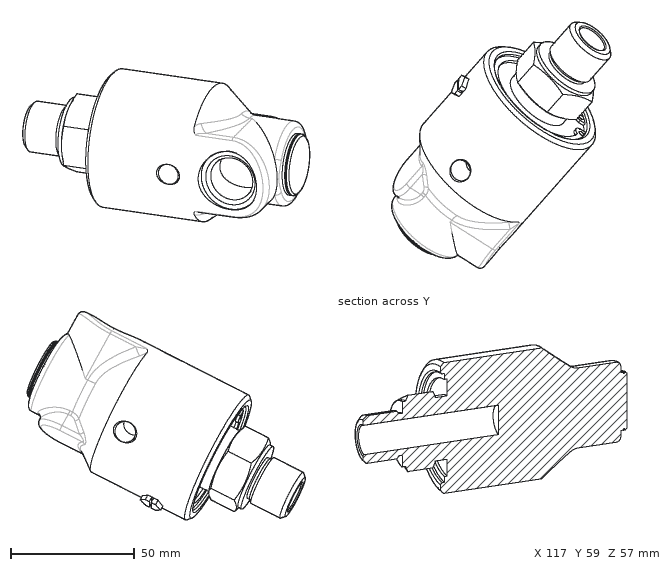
import cadquery as cq
import math


thread_diameter = 20.95
thread_chamfer = 1.6
thread_end_x = 15.0
neck_diameter = 18.5
flange_start_x = 17.4
flange_diameter = 28.6
hex_start_x = 18.9
hex_end_x = 32.2
hex_width = 29.8
hex_chamfer_length = 1.3
collar_diameter = 27.8
bore_diameter = 12.7
bore_chamfer = 0.5
bore_depth = 60.0

body_diameter = 57.0
body_start_x = 34.3
body_end_x = 79.2
body_chamfer = 1.55
cone_angle = 38.0
nose_diameter = 35.0
nose_end_x = 114.3
nose_round = 2.2
root_fillet = 6.0

cap_diameter = 25.4
cap_end_x = 116.97
cap_groove_diameter = 24.2
cap_groove_start_x = 115.4
cap_groove_width = 0.4
cap_chamfer = 0.8

recess_diameter = 47.07
recess_chamfer = 0.8
recess_depth = 3.0
ring_inner_diameter = 42.0
ring_thickness = 1.2
ring_eye_diameter = 2.36
ring_eye_y = -21.4
ring_eye_z = 6.15
ring_lug_radius = 2.9

port_x = 96.5
side_bar_start_x = 60.0
lug_fillet = 2.0
port_spotface_diameter = 25.4
port_spotface_y = -25.0
port_chamfer_diameter = 21.4
port_bore_diameter = 18.3
boss_radius = 10.6
boss_height = 22.0
boss_fillet = 1.8
boss_root_fillet = 2.0

drain_x = 70.7
drain_diameter = 8.6
drain_mouth_diameter = 10.0
drain_mouth_depth = 0.4
drain_angles = (60.0, 180.0, 300.0)
core_radius = 13.0

screw_x = 50.5
screw_width = 8.15
screw_top_y = 30.45
screw_slot_width = 0.8
screw_slot_x = 50.6

overlap = 1.0
tolerance = 0.01

body_radius = body_diameter / 2
nose_radius = nose_diameter / 2
recess_floor_x = body_start_x + recess_depth
cone_end_x = body_end_x + (body_radius - nose_radius) / math.tan(math.radians(cone_angle))


def disc(diameter, start_x, end_x):
    """Cylinder about the X axis."""
    return cq.Workplane("YZ").workplane(offset=start_x).circle(diameter / 2).extrude(end_x - start_x)


def turned(points):
    """Solid turned about the X axis from (x, radius) points."""
    return cq.Workplane("XY").polyline(points).close().revolve(360, (0, 0, 0), (1, 0, 0))


def stadium(radius, start_y, end_y):
    """Bar along Y, flat above and below and rounded about the port axis at its far end."""
    bar = (
        cq.Workplane("XZ", origin=(0, start_y, 0))
        .moveTo(side_bar_start_x, -radius)
        .lineTo(port_x, -radius)
        .threePointArc((port_x + radius, 0), (port_x, radius))
        .lineTo(side_bar_start_x, radius)
        .close()
        .extrude(start_y - end_y)
    )
    return bar


def edges_in(solid, x_range, y_range):
    """Edges of the solid whose middle lies within the given x and y ranges."""
    found = []
    for edge in solid.edges().vals():
        middle = edge.positionAt(0.5)
        in_x = x_range[0] - tolerance <= middle.x <= x_range[1] + tolerance
        in_y = y_range[0] - tolerance <= middle.y <= y_range[1] + tolerance
        if in_x and in_y:
            found.append(edge)
    return solid.newObject(found)


def housing():
    """Cylinder tapering to a nose, with the port lug on -Y and a smaller boss on +Y."""
    shell = turned(
        [
            (body_start_x, 0),
            (body_start_x, body_radius - body_chamfer),
            (body_start_x + body_chamfer, body_radius),
            (body_end_x, body_radius),
            (cone_end_x, nose_radius),
            (nose_end_x, nose_radius),
            (nose_end_x, 0),
        ]
    )
    lug = stadium(nose_radius, 0, -body_radius - overlap)
    lug = lug.intersect(disc(body_diameter, side_bar_start_x, nose_end_x))
    shell = shell.union(lug)

    rim_y = -math.sqrt(body_radius**2 - nose_radius**2)
    rim = edges_in(shell, (body_end_x + overlap, nose_end_x - tolerance), (-body_radius, rim_y))
    shell = rim.fillet(lug_fillet)

    foot = edges_in(shell, (body_end_x + overlap, cone_end_x), (rim_y, nose_radius))
    foot = foot.newObject([edge for edge in foot.vals() if edge.geomType() in ("CIRCLE", "HYPERBOLA")])
    shell = foot.fillet(root_fillet)

    boss = stadium(boss_radius, 0, boss_height)
    boss_rim = edges_in(boss, (side_bar_start_x + overlap, nose_end_x), (boss_height, boss_height))
    shell = shell.union(boss_rim.fillet(boss_fillet))

    boss_foot_y = math.sqrt(nose_radius**2 - boss_radius**2)
    boss_foot = edges_in(
        shell,
        (port_x + overlap, port_x + boss_radius),
        (boss_foot_y, nose_radius - overlap),
    )
    shell = boss_foot.fillet(boss_root_fillet)

    nose_rim = edges_in(shell, (nose_end_x, nose_end_x), (-nose_radius, nose_radius))
    return nose_rim.fillet(nose_round)


def shaft():
    """Threaded end, flange, hexagon and collar, reaching the floor of the recess."""
    thread_radius = thread_diameter / 2
    neck_radius = neck_diameter / 2
    thread = turned(
        [
            (0, 0),
            (0, thread_radius - thread_chamfer),
            (thread_chamfer, thread_radius),
            (thread_end_x, thread_radius),
            (thread_end_x + thread_radius - neck_radius, neck_radius),
            (flange_start_x, neck_radius),
            (flange_start_x, 0),
        ]
    )
    flange = disc(flange_diameter, flange_start_x, hex_start_x)
    collar = disc(collar_diameter, hex_end_x, recess_floor_x + overlap)

    corner_diameter = hex_width / math.cos(math.radians(30))
    hexagon = (
        cq.Workplane("YZ", origin=(hex_start_x, 0, 0))
        .transformed(rotate=(0, 0, 90))
        .polygon(6, corner_diameter)
        .extrude(hex_end_x - hex_start_x)
    )
    hex_envelope = turned(
        [
            (hex_start_x, 0),
            (hex_start_x, flange_diameter / 2),
            (hex_start_x + hex_chamfer_length, corner_diameter / 2),
            (hex_end_x - hex_chamfer_length, corner_diameter / 2),
            (hex_end_x, flange_diameter / 2),
            (hex_end_x, 0),
        ]
    )
    return thread.union(flange).union(hexagon.intersect(hex_envelope)).union(collar)


def shaft_bore():
    """Blind bore with a small chamfer at its mouth."""
    radius = bore_diameter / 2
    return turned(
        [
            (0, 0),
            (0, radius + bore_chamfer),
            (bore_chamfer, radius),
            (bore_depth, radius),
            (bore_depth, 0),
        ]
    )


def recess():
    """Round recess in the shaft-side face, with a chamfered mouth."""
    radius = recess_diameter / 2
    return turned(
        [
            (body_start_x, 0),
            (body_start_x, radius + recess_chamfer),
            (body_start_x + recess_chamfer, radius),
            (recess_floor_x, radius),
            (recess_floor_x, 0),
        ]
    )


def snap_ring():
    """Ring on the recess floor, open on -Y between two lugs that carry the eyes."""
    start_x = recess_floor_x - ring_thickness
    outer_y = -recess_diameter / 2
    gap_edge_z = ring_eye_z - ring_lug_radius
    tail_length = ring_eye_y - outer_y
    plane = cq.Workplane("YZ", origin=(start_x, 0, 0))
    outer_disc = disc(recess_diameter, start_x, recess_floor_x)

    gap = plane.center(outer_y, 0).rect(recess_diameter / 2, 2 * gap_edge_z).extrude(ring_thickness)
    ring = outer_disc.cut(disc(ring_inner_diameter, start_x, recess_floor_x)).cut(gap)
    for side in (-1, 1):
        eye_plane = plane.center(ring_eye_y, side * ring_eye_z)
        lug = eye_plane.circle(ring_lug_radius).extrude(ring_thickness)
        tail = eye_plane.center(-tail_length / 2, 0).rect(tail_length, 2 * ring_lug_radius)
        lug = lug.union(tail.extrude(ring_thickness)).intersect(outer_disc)
        eye = eye_plane.circle(ring_eye_diameter / 2).extrude(ring_thickness)
        ring = ring.union(lug).cut(eye)
    return ring


def end_cap():
    """Disc closing the nose, with a fine groove and a chamfered rim."""
    radius = cap_diameter / 2
    groove_end_x = cap_groove_start_x + cap_groove_width
    return turned(
        [
            (nose_end_x - overlap, 0),
            (nose_end_x - overlap, radius),
            (cap_groove_start_x, radius),
            (cap_groove_start_x, cap_groove_diameter / 2),
            (groove_end_x, cap_groove_diameter / 2),
            (groove_end_x, radius),
            (cap_end_x - cap_chamfer, radius),
            (cap_end_x, radius - cap_chamfer),
            (cap_end_x, 0),
        ]
    )


def side_port():
    """Spotfaced bore from -Y, with a 45 degree lead-in, running onto the inner core."""
    lead_in = (port_chamfer_diameter - port_bore_diameter) / 2
    half = [
        (0, -body_radius - overlap),
        (port_spotface_diameter / 2, -body_radius - overlap),
        (port_spotface_diameter / 2, port_spotface_y),
        (port_chamfer_diameter / 2, port_spotface_y),
        (port_bore_diameter / 2, port_spotface_y + lead_in),
        (port_bore_diameter / 2, 0),
        (0, 0),
    ]
    cutter = cq.Workplane("XY").polyline(half).close().revolve(360, (0, 0, 0), (0, 1, 0))
    return cutter.translate((port_x, 0, 0)).cut(disc(2 * core_radius, side_bar_start_x, nose_end_x))


def drain_hole(angle):
    """Radial hole with a shallow countersink, at an angle about X measured from +Y towards +Z."""
    radius = drain_diameter / 2
    mouth_radius = drain_mouth_diameter / 2
    half = [
        (0, 0),
        (radius, 0),
        (radius, body_radius - drain_mouth_depth),
        (mouth_radius, body_radius),
        (mouth_radius, body_radius + overlap),
        (0, body_radius + overlap),
    ]
    cutter = cq.Workplane("XY").polyline(half).close().revolve(360, (0, 0, 0), (0, 1, 0))
    cutter = cutter.translate((drain_x, 0, 0)).rotate((0, 0, 0), (1, 0, 0), angle)
    return cutter.cut(disc(2 * core_radius, body_start_x, body_end_x))


def hex_screw():
    """Head of a slotted hexagon screw standing out of the body on +Y."""
    head_base_y = body_radius - overlap
    head = (
        cq.Workplane("XZ", origin=(screw_x, head_base_y, 0))
        .polygon(6, screw_width / math.cos(math.radians(30)))
        .extrude(head_base_y - screw_top_y)
    )
    slot_depth = screw_top_y - body_radius
    slot = cq.Workplane("XY").box(screw_slot_width, 2 * slot_depth, 2 * screw_width)
    return head.cut(slot.translate((screw_slot_x, screw_top_y, 0)))


result = housing().union(end_cap()).cut(recess())
result = result.union(snap_ring()).union(shaft()).union(hex_screw())
result = result.cut(shaft_bore()).cut(side_port())
for drain_angle in drain_angles:
    result = result.cut(drain_hole(drain_angle))